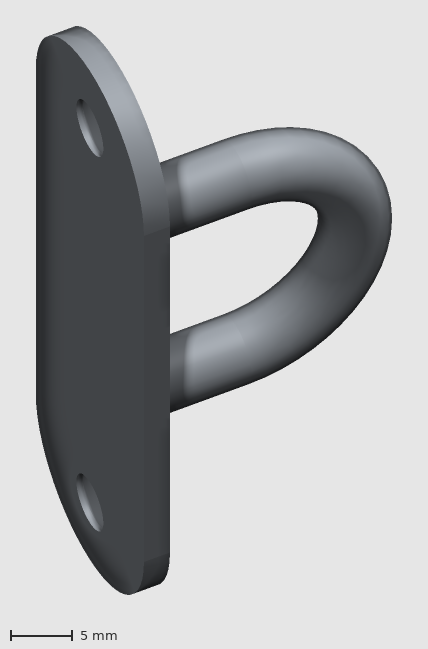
import cadquery as cq
import math

plate_width = 20.0
plate_height = 60.0
plate_thickness = 2.35

hole_diameter = 5.0
hole_spacing = 45.95
hole_land = 0.55
countersink_angle = 90.0

overall_depth = 26.8
bar_diameter = 6.0
bend_radius = 10.75

plate_back = plate_thickness / 2
plate_front = -plate_back
countersink_depth = plate_thickness - hole_land
countersink_flare = countersink_depth * math.tan(math.radians(countersink_angle / 2))
countersink_diameter = hole_diameter + 2 * countersink_flare
loop_tip = plate_front + overall_depth
bend_start = loop_tip - bar_diameter / 2 - bend_radius


def make_plate():
    """Plate with its front face towards -Y and a countersunk hole near each end."""
    back_face = cq.Workplane("XZ", origin=(0, plate_back, 0))
    plate = back_face.slot2D(plate_height, plate_width, 90).extrude(plate_thickness)
    return (
        plate.faces(">Y")
        .workplane(centerOption="CenterOfBoundBox")
        .pushPoints([(0, -hole_spacing / 2), (0, hole_spacing / 2)])
        .cskHole(hole_diameter, countersink_diameter, countersink_angle)
    )


def make_loop():
    """Bar swept along two straight legs joined by a half-circle bend."""
    path = (
        cq.Workplane("YZ")
        .moveTo(plate_back, -bend_radius)
        .lineTo(bend_start, -bend_radius)
        .threePointArc((bend_start + bend_radius, 0), (bend_start, bend_radius))
        .lineTo(plate_back, bend_radius)
    )
    leg_foot = cq.Workplane("XZ", origin=(0, plate_back, -bend_radius))
    return leg_foot.circle(bar_diameter / 2).sweep(path)


result = make_plate().union(make_loop())